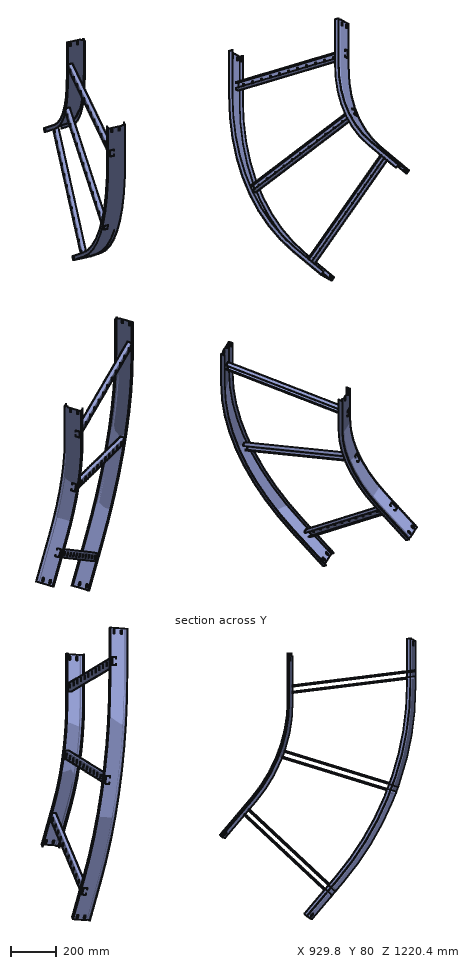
import cadquery as cq
import math


bend_angle = 45.0
inner_radius = 600.0
tray_width = 600.0
outer_radius = inner_radius + tray_width
straight_length = 217.85

rail_height = 80.0
rail_flange = 19.0
rail_sheet = 1.5
bead_centre = 70.0
bead_mouth = 12.0
bead_floor = 5.0
bead_depth = 5.0
bead_round = 1.5

slot_length = 17.0
slot_width = 7.0
slot_from_end = 17.5
web_slot_heights = (17.0, 51.0)
flange_slot_from_web = 12.0

rung_width = 38.0
rung_depth = 19.5
rung_base = 8.5
rung_sheet = 1.5
rung_lip = 8.0
rung_bend_radius = 3.0
rung_from_end = 150.5
middle_rung_angle = 22.2
rung_slot_count = 12
rung_slot_pitch = 49.5
rung_slot_length = 17.0
rung_slot_width = 8.0


def about_bend(body, angle):
    """Turn a body about the bend axis, from the upper end towards the lower end."""
    return body.rotate((0, 0, 0), (0, 1, 0), angle)


def rail_profile(web_radius, inward):
    """Channel section with a bead; inward is the X direction its flanges point in."""
    bead_top = bead_centre + bead_mouth / 2
    bead_bottom = bead_centre - bead_mouth / 2
    floor_top = bead_centre + bead_floor / 2
    floor_bottom = bead_centre - bead_floor / 2
    outline = [
        (0, 0),
        (rail_flange, 0),
        (rail_flange, rail_sheet),
        (rail_sheet, rail_sheet),
        (rail_sheet, bead_bottom),
        (rail_sheet + bead_depth, floor_bottom),
        (rail_sheet + bead_depth, floor_top),
        (rail_sheet, bead_top),
        (rail_sheet, rail_height - rail_sheet),
        (rail_flange, rail_height - rail_sheet),
        (rail_flange, rail_height),
        (0, rail_height),
        (0, bead_top),
        (bead_depth, floor_top),
        (bead_depth, floor_bottom),
        (0, bead_bottom),
    ]
    points = [(web_radius + inward * depth, height) for depth, height in outline]
    section = cq.Sketch().polygon(points + points[:1])
    bead_zone = cq.selectors.BoxSelector(
        (web_radius - rail_flange, bead_bottom - rail_sheet, -rail_sheet),
        (web_radius + rail_flange, bead_top + rail_sheet, rail_sheet),
    )
    section = section.vertices(bead_zone).fillet(bead_round)
    return cq.Workplane("XY").placeSketch(section)


def end_slots(web_radius, inward, direction):
    """Cutters for the web and flange slots at a rail end; direction is +1 for up, -1 for down."""
    slot_z = direction * (straight_length - slot_from_end)
    web_slots = (
        cq.Workplane("YZ", origin=(web_radius, 0, slot_z))
        .pushPoints([(height, 0) for height in web_slot_heights])
        .slot2D(slot_length, slot_width, 90)
        .extrude(2 * rail_sheet, both=True)
    )
    flange_slot = (
        cq.Workplane("XZ", origin=(web_radius + inward * flange_slot_from_web, 0, slot_z))
        .slot2D(slot_length, slot_width, 90)
        .extrude(2 * rail_sheet, both=True)
    )
    return web_slots.union(flange_slot)


def make_rail(web_radius, inward):
    """Straight run, bend and straight run, slotted at both ends."""
    upper = rail_profile(web_radius, inward).extrude(straight_length)
    upper = upper.cut(end_slots(web_radius, inward, 1))
    curve = rail_profile(web_radius, inward).revolve(bend_angle, (0, 0, 0), (0, 1, 0))
    lower = rail_profile(web_radius, inward).extrude(-straight_length)
    lower = lower.cut(end_slots(web_radius, inward, -1))
    return upper.union(curve).union(about_bend(lower, bend_angle))


def rung_block(width, depth, base, corner_radius, start, length):
    """Bar along X with rounded long edges."""
    return (
        cq.Workplane("YZ", origin=(start, base + depth / 2, 0))
        .rect(depth, width)
        .extrude(length)
        .edges("|X")
        .fillet(corner_radius)
    )


def make_rung(start, length):
    """Lipped channel along X, open towards +Y, with a row of slots in its web."""
    outside = rung_block(rung_width, rung_depth, rung_base, rung_bend_radius, start, length)
    inside = rung_block(
        rung_width - 2 * rung_sheet,
        rung_depth - 2 * rung_sheet,
        rung_base + rung_sheet,
        rung_bend_radius - rung_sheet,
        start,
        length,
    )
    mouth = (
        cq.Workplane("YZ", origin=(start, rung_base + rung_depth, 0))
        .rect(rung_depth, rung_width - 2 * rung_lip)
        .extrude(length)
    )
    slots = (
        cq.Workplane("XZ", origin=((inner_radius + outer_radius) / 2, rung_base, 0))
        .rarray(rung_slot_pitch, 1, rung_slot_count, 1)
        .slot2D(rung_slot_length, rung_slot_width, 90)
        .extrude(2 * rung_sheet, both=True)
    )
    return outside.cut(inside).cut(mouth).cut(slots)


def make_curve_rung():
    """Rung whose ends are trimmed flush with the backs of the curved webs."""
    end_rise = inner_radius - math.sqrt(inner_radius**2 - (rung_width / 2) ** 2)
    blank = make_rung(inner_radius - end_rise, tray_width + end_rise)
    ring = (
        cq.Workplane("XZ")
        .circle(outer_radius)
        .circle(inner_radius)
        .extrude(-rail_height)
    )
    return blank.intersect(ring)


rung_offset = straight_length - rung_from_end
upper_rung = make_rung(inner_radius, tray_width).translate((0, 0, rung_offset))
middle_rung = about_bend(make_curve_rung(), middle_rung_angle)
lower_rung = about_bend(make_rung(inner_radius, tray_width).translate((0, 0, -rung_offset)), bend_angle)
rungs = [upper_rung, middle_rung, lower_rung]

inner_rail = make_rail(inner_radius, 1)
outer_rail = make_rail(outer_radius, -1)
for rung in rungs:
    inner_rail = inner_rail.cut(rung)
    outer_rail = outer_rail.cut(rung)

result = cq.Compound.makeCompound(
    [inner_rail.val(), outer_rail.val(), *[rung.val() for rung in rungs]]
)